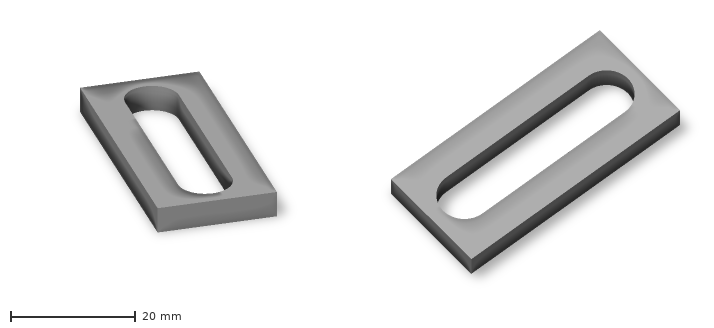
import cadquery as cq

plate_length = 44.0
plate_width = 20.0
plate_thickness = 4.4

slot_length = 39.0
slot_width = 9.0

plate = cq.Workplane("XY").box(plate_length, plate_width, plate_thickness)

result = plate.faces(">Z").workplane().slot2D(slot_length, slot_width).cutThruAll()